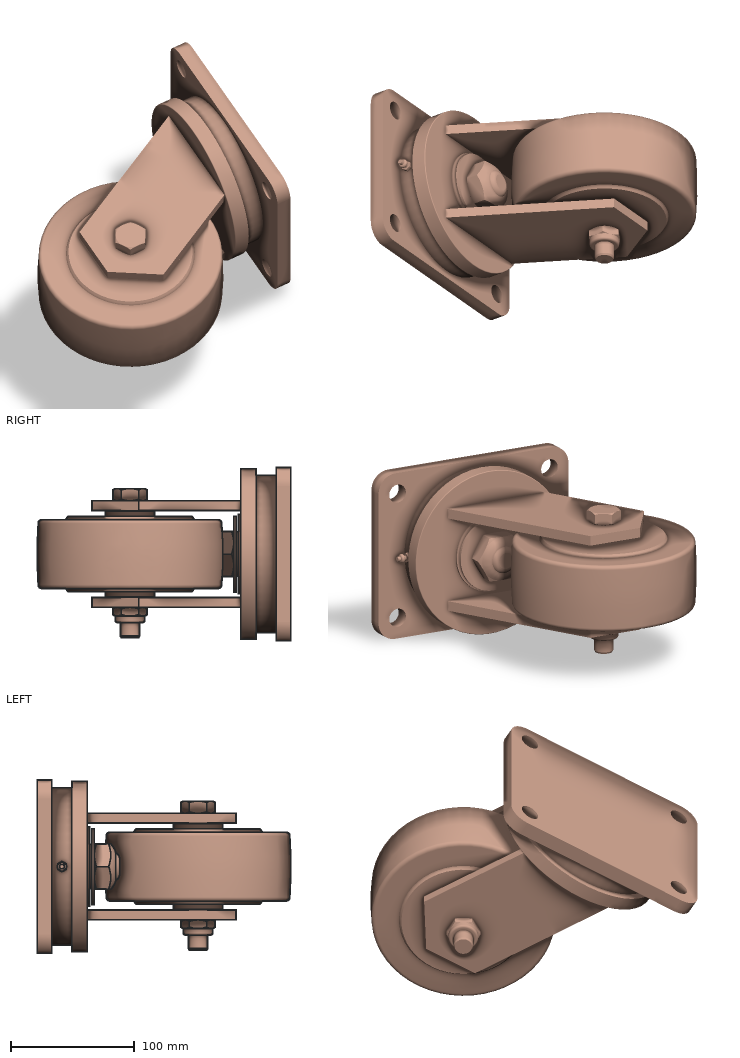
import cadquery as cq
import math


hexagon_half_angle = 30
hexagon_chamfer_angle = 30

overall_length = 217.4
plate_length = 175.0
wheel_radius = 75.0
axle_offset = overall_length - plate_length / 2 - wheel_radius
axle_depth = 129.8

plate_width = 140.0
plate_thickness = 12.0
plate_corner_radius = 15.2
mount_hole_diameter = 15.2
mount_pitch_x = 140.0
mount_pitch_z = 105.0
ring_radius = 63.7
ring_bottom_depth = 28.0

flange_radius = 69.0
flange_thickness = 12.4
flange_edge_fillet = 0.7
flange_bottom_depth = ring_bottom_depth + flange_thickness
leg_inner_z = 35.0
leg_outer_z = 43.0
leg_top_rear_x = -40.2
leg_top_front_x = 50.9
leg_elbow = (96.0, 122.5)
leg_bottom_depth = 160.5
leg_bottom_rear_x = 25.7
leg_bottom_front_x = 71.5

kingpin_radius = 18.0
thrust_washer_radius = 32.2
thrust_washer_thickness = 2.0
washer_gap = 1.5
lock_washer_radius = 30.7
lock_washer_thickness = 2.2
kingpin_nut_flats = 36.5
kingpin_nut_height = 13.3
nut_crown_height = 4.1
nut_crown_tip_radius = 11.0
nut_crown_bulge = 0.7
kingpin_tip_height = 3.0
kingpin_tip_radius = 6.7
kingpin_tip_bulge = 0.7

nipple_depth = (plate_thickness + ring_bottom_depth) / 2
nipple_embedment = 2.2
nipple_base_length = 3.3
nipple_neck_length = 2.0
nipple_ball_length = 3.3
nipple_tip_length = 2.5
nipple_base_radius = 4.1
nipple_neck_radius = 2.0
nipple_ball_radius = 3.7
nipple_tip_radius = 2.0

axle_radius = 7.8
axle_end_z = -67.4
axle_end_chamfer_length = 1.5
axle_end_chamfer_width = 0.9
bolt_flats = 24.0
bolt_head_height = 9.8
axle_nut_height = 7.0
axle_nut_collar_height = 5.2
axle_nut_collar_fillet = 1.7

tread_half_width = 27.8
tread_shoulder_radius = 74.1
tread_fillet = 3.3
hub_half_width = 30.5
hub_base_radius = 52.0
hub_face_radius = 50.0
spacer_radius = 20.0
spacer_half_width = 34.5


def disc(radius, top_depth, bottom_depth):
    """Cylinder on the swivel axis between two depths."""
    plane = cq.Workplane("XZ", origin=(0, -top_depth, 0))
    return plane.circle(radius).extrude(bottom_depth - top_depth)


def hexagon(flats, height):
    """Hexagonal prism along +Z from the origin, corners on X, with its corners chamfered at both ends."""
    half_angle = math.radians(hexagon_half_angle)
    corner_radius = flats / 2 / math.cos(half_angle)
    chamfer_width = corner_radius - flats / 2
    chamfer_height = chamfer_width * math.tan(math.radians(hexagon_chamfer_angle))
    prism = cq.Workplane("XY").polygon(6, 2 * corner_radius).extrude(height)
    envelope = (
        cq.Workplane("XY")
        .circle(corner_radius)
        .extrude(height)
        .faces("|Z")
        .edges()
        .chamfer(chamfer_height, chamfer_width)
    )
    return prism.intersect(envelope)


def make_plate():
    """Drilled mounting plate with the bearing ring under it."""
    plate = (
        cq.Workplane("XZ")
        .rect(plate_length, plate_width)
        .extrude(plate_thickness)
        .edges("|Y")
        .fillet(plate_corner_radius)
    )
    holes = (
        cq.Workplane("XZ")
        .rect(mount_pitch_x, mount_pitch_z, forConstruction=True)
        .vertices()
        .circle(mount_hole_diameter / 2)
        .extrude(plate_thickness)
    )
    ring = disc(ring_radius, plate_thickness, ring_bottom_depth)
    return plate.cut(holes).union(ring)


def make_kingpin():
    """Pin through the fork flange, with two washers and a hexagon nut under the flange."""
    thrust_bottom = flange_bottom_depth + thrust_washer_thickness
    lock_top = thrust_bottom + washer_gap
    nut_top = lock_top + lock_washer_thickness
    nut_bottom = nut_top + kingpin_nut_height
    crown_bottom = nut_bottom + nut_crown_height
    tip_depth = crown_bottom + kingpin_tip_height

    pin = disc(kingpin_radius, plate_thickness, nut_bottom)
    thrust_washer = disc(thrust_washer_radius, flange_bottom_depth, thrust_bottom)
    lock_washer = disc(lock_washer_radius, lock_top, nut_top)
    nut = hexagon(kingpin_nut_flats, kingpin_nut_height)
    nut = nut.rotate((0, 0, 0), (1, 0, 0), 90).translate((0, -nut_top, 0))
    rounded_end = (
        cq.Workplane("XY")
        .moveTo(0, -nut_bottom)
        .lineTo(kingpin_nut_flats / 2, -nut_bottom)
        .sagittaArc((nut_crown_tip_radius, -crown_bottom), nut_crown_bulge)
        .sagittaArc((kingpin_tip_radius, -tip_depth), kingpin_tip_bulge)
        .lineTo(0, -tip_depth)
        .close()
        .revolve(360, (0, 0), (0, 1))
    )
    return pin.union(thrust_washer).union(lock_washer).union(nut).union(rounded_end)


def make_nipple():
    """Grease nipple pointing along -X from the bearing ring."""
    base_end = nipple_embedment + nipple_base_length
    neck_end = base_end + nipple_neck_length
    ball_end = neck_end + nipple_ball_length
    tip_end = ball_end + nipple_tip_length
    base = cq.Workplane("XY").polygon(6, 2 * nipple_base_radius).extrude(base_end)
    stem = (
        cq.Workplane("XZ")
        .lineTo(nipple_neck_radius, 0)
        .lineTo(nipple_neck_radius, neck_end)
        .threePointArc((nipple_ball_radius, (neck_end + ball_end) / 2), (nipple_tip_radius, ball_end))
        .lineTo(nipple_tip_radius, tip_end)
        .lineTo(0, tip_end)
        .close()
        .revolve(360, (0, 0), (0, 1))
    )
    nipple = base.union(stem).rotate((0, 0, 0), (0, 1, 0), -90)
    return nipple.translate((nipple_embedment - ring_radius, -nipple_depth, 0))


def make_top_plate_assembly():
    """Top plate body: plate and ring with the kingpin and the grease nipple fixed in them."""
    return make_plate().union(make_kingpin()).union(make_nipple())


def make_leg():
    """Slanted flat leg on the +Z side of the wheel."""
    outline = [
        (leg_top_rear_x, -flange_bottom_depth),
        (leg_top_front_x, -flange_bottom_depth),
        (leg_elbow[0], -leg_elbow[1]),
        (leg_bottom_front_x, -leg_bottom_depth),
        (leg_bottom_rear_x, -leg_bottom_depth),
    ]
    plane = cq.Workplane("XY", origin=(0, 0, leg_inner_z))
    return plane.polyline(outline).close().extrude(leg_outer_z - leg_inner_z)


def make_axle():
    """Axle bolt along Z with its head on the +Z leg and a collared lock nut on the -Z leg."""
    shank = (
        cq.Workplane("XY", origin=(0, 0, axle_end_z))
        .circle(axle_radius)
        .extrude(leg_outer_z - axle_end_z)
        .faces("<Z")
        .edges()
        .chamfer(axle_end_chamfer_length, axle_end_chamfer_width)
    )
    head = hexagon(bolt_flats, bolt_head_height).translate((0, 0, leg_outer_z))
    nut_end_z = -leg_outer_z - axle_nut_height
    nut = hexagon(bolt_flats, axle_nut_height).translate((0, 0, nut_end_z))
    collar = (
        cq.Workplane("XY", origin=(0, 0, nut_end_z - axle_nut_collar_height))
        .circle(bolt_flats / 2)
        .extrude(axle_nut_collar_height)
        .faces("<Z")
        .edges()
        .fillet(axle_nut_collar_fillet)
    )
    axle = shank.union(head).union(nut).union(collar)
    return axle.rotate((0, 0, 0), (0, 0, 1), hexagon_half_angle).translate((axle_offset, -axle_depth, 0))


def make_fork():
    """Swivel flange with two legs and the axle bolt clamped across them."""
    flange = disc(flange_radius, ring_bottom_depth, flange_bottom_depth)
    flange = flange.faces("<Y").edges().fillet(flange_edge_fillet)
    flange = flange.cut(disc(kingpin_radius, ring_bottom_depth, flange_bottom_depth))
    leg = make_leg()
    return flange.union(leg).union(leg.mirror("XY")).union(make_axle())


def make_wheel():
    """Crowned tread with rounded shoulders, raised hub faces and spacers, bored for the axle."""
    fillet_start_z = tread_half_width - tread_fillet
    side_radius = tread_shoulder_radius - tread_fillet
    fillet_mid_radius = side_radius + tread_fillet * math.cos(math.radians(45))
    fillet_mid_z = fillet_start_z + tread_fillet * math.sin(math.radians(45))
    profile = (
        cq.Workplane("XZ")
        .moveTo(axle_radius, -spacer_half_width)
        .lineTo(spacer_radius, -spacer_half_width)
        .lineTo(spacer_radius, -hub_half_width)
        .lineTo(hub_face_radius, -hub_half_width)
        .lineTo(hub_base_radius, -tread_half_width)
        .lineTo(side_radius, -tread_half_width)
        .threePointArc((fillet_mid_radius, -fillet_mid_z), (tread_shoulder_radius, -fillet_start_z))
        .threePointArc((wheel_radius, 0), (tread_shoulder_radius, fillet_start_z))
        .threePointArc((fillet_mid_radius, fillet_mid_z), (side_radius, tread_half_width))
        .lineTo(hub_base_radius, tread_half_width)
        .lineTo(hub_face_radius, hub_half_width)
        .lineTo(spacer_radius, hub_half_width)
        .lineTo(spacer_radius, spacer_half_width)
        .lineTo(axle_radius, spacer_half_width)
        .close()
    )
    wheel = profile.revolve(360, (0, 0), (0, 1))
    return wheel.translate((axle_offset, -axle_depth, 0))


top_plate = make_top_plate_assembly()
fork = make_fork()
wheel = make_wheel()

result = cq.Compound.makeCompound([top_plate.val(), fork.val(), wheel.val()])